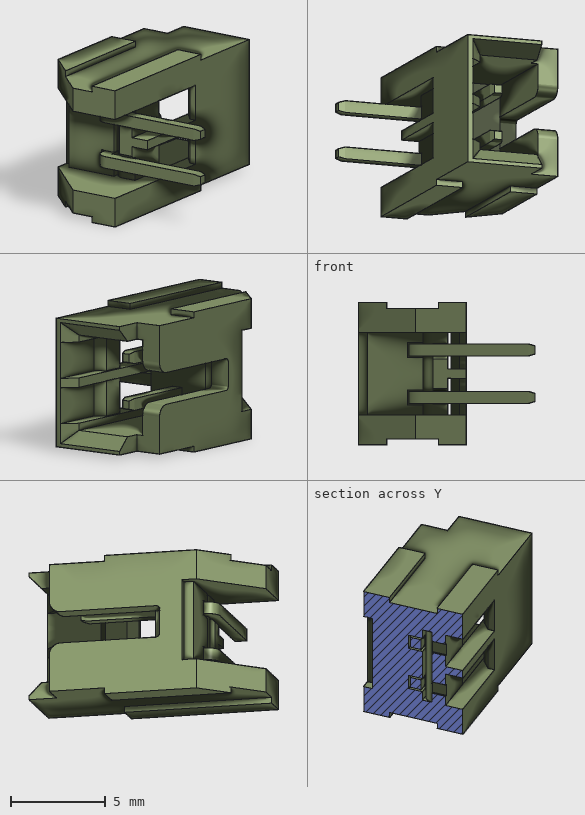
import cadquery as cq
import math


body_depth = 5.69
body_length = 12.5
body_height = 7.5
rail_height = 0.31
rail_width = 1.5
far_rail_start = 4.21
rail_length = 8.0
ear_chamfer = 3.0
mouth_notch = 1.5
ear_gap = 4.34

wall_thickness = 1.11
cavity_depth = 3.6
cavity_height = 5.1
cavity_floor = 5.51
mouth_chamfer = 0.69
cavity_far_side = wall_thickness + cavity_depth

slot_height = 1.7
slot_end = 5.0
slot_end_radius = 0.21
slot_mouth_radius = 0.6
near_wall_end = body_length - mouth_notch

front_face = 3.28
corner_step_depth = 0.49
corner_step_face = 3.79
groove_start = 3.39
groove_radius = 0.54

channel_floor = cavity_far_side + mouth_chamfer
latch_start = 7.5
latch_start_depth = 5.32
latch_crest = 4.86
latch_crest_start = 8.04
latch_crest_end = 9.2
latch_end = 9.59
rib_height = 0.5

boss_start = groove_start + groove_radius
boss_face = 3.0
boss_chamfer = 0.15

pin_pitch = 2.5
pin_size = 0.64
pin_near_side = 2.66
pin_front = 2.58
pin_reach = 9.3
pin_tip_length = 0.34
pin_tip_inset = 0.1
pin_contact_end = 10.0
pin_clearance = 0.08
pin_pocket_depth = 0.54
pin_lane_height = 0.7
pin_lane_depth = 0.08


def box(x_range, y_range, height, z_center=0.0):
    """Box spanning two ranges, centred on a height in Z."""
    (x_min, x_max), (y_min, y_max) = x_range, y_range
    return (
        cq.Workplane("XY")
        .box(x_max - x_min, y_max - y_min, height)
        .translate(((x_min + x_max) / 2, (y_min + y_max) / 2, z_center))
    )


def prism(profile, height):
    """Extrude a closed XY profile evenly to both sides of Z = 0."""
    return profile.extrude(height / 2, both=True)


def shell_block():
    """Housing outline with the ear chamfers, mouth notch and four guide rails."""
    outline = cq.Workplane("XY").polyline([
        (ear_chamfer, 0),
        (body_depth, 0),
        (body_depth, body_length),
        (mouth_notch, body_length),
        (mouth_notch, near_wall_end),
        (0, near_wall_end),
        (0, ear_chamfer),
    ]).close()
    block = prism(outline, body_height)
    for side in (-1, 1):
        rail_center = side * (body_height - rail_height) / 2
        between_rails = box((rail_width, far_rail_start), (0, body_length), rail_height, rail_center)
        beyond_rails = box((0, body_depth), (rail_length, body_length), rail_height, rail_center)
        block = block.cut(between_rails).cut(beyond_rails)
    return block


def front_opening():
    """Space between the ears, with the corner step and the rounded groove in the floor front."""
    profile = (
        cq.Workplane("XY")
        .polyline([
            (body_depth, front_face),
            (body_depth, 0),
            (0, 0),
            (0, corner_step_face),
            (corner_step_depth, corner_step_face),
            (corner_step_depth, front_face),
            (groove_start, front_face),
            (groove_start, front_face + groove_radius),
        ])
        .radiusArc((boss_start, front_face), -groove_radius)
        .close()
    )
    return prism(profile, ear_gap)


def cavity():
    """Mating cavity with a 45 degree lead-in at the mouth."""
    far_side = (wall_thickness, cavity_far_side)
    chamber = box(far_side, (cavity_floor, body_length), cavity_height)
    lead_in = (
        cq.Workplane("XZ", origin=(wall_thickness + cavity_depth / 2, body_length - mouth_chamfer, 0))
        .rect(cavity_depth, cavity_height)
        .workplane(offset=-mouth_chamfer)
        .rect(cavity_depth + 2 * mouth_chamfer, cavity_height + 2 * mouth_chamfer)
        .loft()
    )
    return chamber.union(lead_in)


def near_wall_slot():
    """Slot through the near wall, rounded at its end and flared at the mouth."""
    slot = box((0, wall_thickness), (slot_end, near_wall_end), slot_height)
    slot = slot.edges("|X and <Y").fillet(slot_end_radius)
    corner = near_wall_end - slot_mouth_radius
    for side in (-1, 1):
        edge = side * slot_height / 2
        flare_center = edge + side * slot_mouth_radius / 2
        flare = box((0, wall_thickness), (corner, near_wall_end), slot_mouth_radius, flare_center)
        rounding = (
            cq.Workplane("YZ")
            .center(corner, edge + side * slot_mouth_radius)
            .circle(slot_mouth_radius)
            .extrude(wall_thickness)
        )
        slot = slot.union(flare.cut(rounding))
    return slot


def far_wall_channel():
    """Channel in the far wall, open through the wall in front of the latch ridge."""
    profile = cq.Workplane("XY").polyline([
        (cavity_far_side, front_face),
        (body_depth, front_face),
        (body_depth, latch_start),
        (latch_start_depth, latch_start),
        (latch_crest, latch_crest_start),
        (latch_crest, latch_crest_end),
        (channel_floor, latch_end),
        (channel_floor, body_length),
        (cavity_far_side, body_length),
    ]).close()
    return prism(profile, ear_gap)


def rib():
    """Central rib along the far wall, chamfered at the mouth."""
    profile = cq.Workplane("XY").polyline([
        (cavity_far_side, boss_face),
        (body_depth, boss_face),
        (body_depth, body_length),
        (channel_floor, body_length),
        (cavity_far_side, body_length - mouth_chamfer),
    ]).close()
    return prism(profile, rib_height)


def boss():
    """Raised block filling the space between the pins, chamfered beside each pin."""
    half_base = (pin_pitch - pin_size) / 2
    base = front_face + pin_lane_depth
    half_top = half_base - boss_chamfer
    chamfer_end = boss_face + boss_chamfer
    return (
        cq.Workplane("YZ", origin=(boss_start, 0, 0))
        .polyline([
            (base, -half_base),
            (chamfer_end, -half_base),
            (boss_face, -half_top),
            (boss_face, half_top),
            (chamfer_end, half_base),
            (base, half_base),
        ])
        .close()
        .extrude(cavity_far_side - boss_start)
    )


def pin_recess(z_center):
    """Clearance pocket around the pin and the shallow lane beneath its bent leg."""
    pocket_size = pin_size + 2 * pin_clearance
    pocket_start = pin_near_side - pin_clearance
    pocket = box(
        (pocket_start, groove_start), (front_face, front_face + pin_pocket_depth), pocket_size, z_center
    )
    lane = box(
        (boss_start, cavity_far_side), (front_face, front_face + pin_lane_depth), pin_lane_height, z_center
    )
    return pocket.union(lane)


def pin_tip(plane, origin, length):
    """Tapered square tip growing from the end of a pin leg."""
    taper = math.degrees(math.atan2(pin_tip_inset, pin_tip_length))
    return cq.Workplane(plane, origin=origin).rect(pin_size, pin_size).extrude(length, taper=taper)


def pin(z_center):
    """Right-angle square pin with a rounded outer bend and two tapered tips."""
    back = pin_front + pin_size
    inner_side = pin_near_side + pin_size
    leg_end = pin_reach - pin_tip_length
    contact_shoulder = pin_contact_end - pin_tip_length
    profile = (
        cq.Workplane("XY")
        .moveTo(pin_near_side, back)
        .radiusArc((inner_side, pin_front), -pin_size)
        .lineTo(leg_end, pin_front)
        .lineTo(leg_end, back)
        .lineTo(inner_side, back)
        .lineTo(inner_side, contact_shoulder)
        .lineTo(pin_near_side, contact_shoulder)
        .close()
    )
    legs = prism(profile, pin_size)
    leg_tip = pin_tip("YZ", (leg_end, pin_front + pin_size / 2, 0), pin_tip_length)
    contact_tip = pin_tip("XZ", (pin_near_side + pin_size / 2, contact_shoulder, 0), -pin_tip_length)
    return legs.union(leg_tip).union(contact_tip).translate((0, 0, z_center))


housing = (
    shell_block()
    .cut(front_opening())
    .cut(cavity())
    .cut(near_wall_slot())
    .cut(far_wall_channel())
    .union(rib())
)

pin_centers = (-pin_pitch / 2, pin_pitch / 2)
for center in pin_centers:
    housing = housing.cut(pin_recess(center))
housing = housing.union(boss())
for center in pin_centers:
    housing = housing.union(pin(center))

result = housing